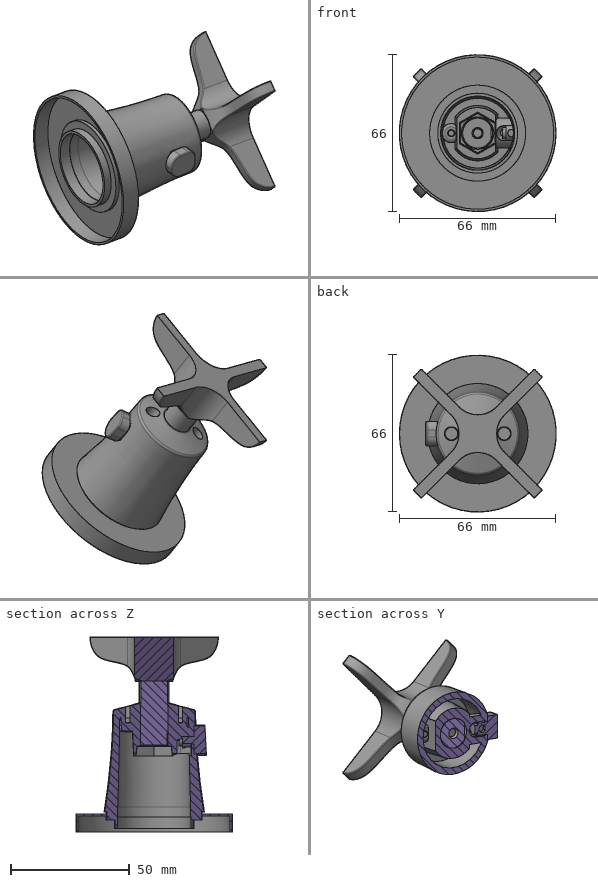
import cadquery as cq
import math


PLATE_RADIUS = 33.0
PLATE_RIM = 1.0
PLATE_DEPTH = 7.7
PLATE_FLOOR = 1.0

NECK_RADIUS = 20.2
NECK_START = 5.0
SPIGOT_RADIUS = 16.8
SPIGOT_START = 1.6
SKIRT_START = 8.5
SKIRT_RADIUS = 21.1
WAIST_Y = 32.8
WAIST_RADIUS = 18.2
SHOULDER_Y = 51.3
SHOULDER_RADIUS = 17.4
SHOULDER_FILLET = 1.0
CONE_TOP_Y = 54.2
CONE_TOP_RADIUS = 6.8

BORE_RADIUS = 15.6
BORE_LAND = 4.8
INNER_BORE_RADIUS = 15.5
INNER_BORE_LAND = 4.2
CEILING_Y = 48.0
CEILING_RADIUS = 14.65

BLOCK_RADIUS = 11.65
BLOCK_LEFT = -9.5
BLOCK_RIGHT = 8.5
BLOCK_DEPTH = 16.0
BLOCK_DRAFT = 3.2
HEX_MOUTH_FLATS = 15.3
HEX_FLOOR_FLATS = 14.4
HEX_DEPTH = 4.0
BORE_MOUTH_RADIUS = 6.8
BORE_CHAMFER = 0.5

STEM_RADIUS = 6.3
STEM_FLAT_X = 5.6
STEM_FLAT_LENGTH = 5.0
STEM_START = 36.5
STEM_CENTRE_MOUTH_DIAMETER = 4.7
STEM_CENTRE_FLOOR_DIAMETER = 3.6
STEM_CENTRE_DEPTH = 2.0

HANDLE_BASE_Y = 63.4
HANDLE_TOP_Y = 81.98
ARM_WIDTH = 4.8
ARM_TIP_RADIUS = 36.0
ARM_CROTCH_RADIUS = 11.0
ARM_EDGE_FILLET = 0.4
ARM_UNDERSIDE = [(9.5, 66.2), (12.8, 69.1), (19.0, 71.05), (26.7, 72.3), (31.8, 74.2), (34.8, 77.5)]

SCREW_X = 11.1
SCREW_PLACES = (-SCREW_X, SCREW_X)
SCREW_SHANK_DIAMETER = 3.0
SCREW_HEAD_DIAMETER = 5.3
SCREW_HEAD_HEIGHT = 2.0
SCREW_SEAT_Y = 46.0
SCREW_TIP_Y = 42.0
SCREW_TIP_CHAMFER = 0.25
SCREW_BORE_DIAMETER = 5.8
SCREW_BOSS_DIAMETER = 8.0
SCREW_BOSS_END_Y = 42.3
SCREW_BOSS_FILLET = 1.3

KNOB_Y = 38.6
KNOB_HEIGHT = 12.8
KNOB_WIDTH = 10.4
KNOB_UPPER_ROUND = 3.7
KNOB_LOWER_ROUND = 4.9
KNOB_HEAD_X = 21.75
KNOB_SEAT_X = 16.8
KNOB_END_TILT = 3.0
KNOB_END_FILLET = 0.5
KNOB_SHAFT_RADIUS = 3.15
KNOB_SHAFT_START = 11.9
KNOB_TIP_RADIUS = 2.4
KNOB_TIP_START = 10.5
KNOB_CROSS_HOLE_DIAMETER = 3.1
KNOB_CROSS_HOLE_X = 14.2
SLEEVE_RADIUS = 6.3
SLEEVE_START_X = 7.0
SLEEVE_END_X = 16.2
SLOT_END_X = 15.5
SLOT_CONE_FLOOR_Y = 41.0


def turned(points):
    """Solid of revolution about Y from (radius, y) points."""
    return cq.Workplane("XY").polyline(points).close().revolve(360, (0, 0), (0, 1))


def rod_y(x, radius, y_start, y_end):
    """Cylinder parallel to Y."""
    return cq.Workplane("XZ", origin=(x, y_end, 0)).circle(radius).extrude(y_end - y_start)


def rod_x(radius, x_start, x_end):
    """Cylinder on the knob axis."""
    return cq.Workplane("YZ", origin=(x_start, KNOB_Y, 0)).circle(radius).extrude(x_end - x_start)


def make_plate():
    floor_y = PLATE_DEPTH - PLATE_FLOOR
    rim_inner = PLATE_RADIUS - PLATE_RIM
    return turned([
        (NECK_RADIUS, PLATE_DEPTH),
        (PLATE_RADIUS, PLATE_DEPTH),
        (PLATE_RADIUS, 0),
        (rim_inner, 0),
        (rim_inner, floor_y),
        (NECK_RADIUS, floor_y),
    ])


def housing_outside():
    body = (
        cq.Workplane("XY")
        .moveTo(0, SPIGOT_START)
        .lineTo(SPIGOT_RADIUS, SPIGOT_START)
        .lineTo(SPIGOT_RADIUS, NECK_START)
        .lineTo(NECK_RADIUS, NECK_START)
        .lineTo(NECK_RADIUS, SKIRT_START)
        .lineTo(SKIRT_RADIUS, SKIRT_START)
        .spline([(WAIST_RADIUS, WAIST_Y), (SHOULDER_RADIUS, SHOULDER_Y)], includeCurrent=True)
        .lineTo(CONE_TOP_RADIUS, CONE_TOP_Y)
        .lineTo(0, CONE_TOP_Y)
        .close()
        .revolve(360, (0, 0), (0, 1))
    )
    shoulder = cq.selectors.BoxSelector(
        (-SKIRT_RADIUS, WAIST_Y, -SKIRT_RADIUS),
        (SKIRT_RADIUS, CONE_TOP_Y - SHOULDER_FILLET, SKIRT_RADIUS),
    )
    return body.edges(shoulder).edges("%CIRCLE").fillet(SHOULDER_FILLET)


def housing_cavity():
    land_end = SPIGOT_START + BORE_LAND
    inner_land_end = land_end + INNER_BORE_LAND
    return turned([
        (0, SPIGOT_START),
        (BORE_RADIUS, SPIGOT_START),
        (BORE_RADIUS, land_end),
        (INNER_BORE_RADIUS, land_end),
        (INNER_BORE_RADIUS, inner_land_end),
        (CEILING_RADIUS, CEILING_Y),
        (0, CEILING_Y),
    ])


def cartridge_block():
    left_z = math.sqrt(BLOCK_RADIUS**2 - BLOCK_LEFT**2)
    right_z = math.sqrt(BLOCK_RADIUS**2 - BLOCK_RIGHT**2)
    return (
        cq.Workplane("XZ", origin=(0, CEILING_Y, 0))
        .moveTo(BLOCK_LEFT, -left_z)
        .threePointArc((0, -BLOCK_RADIUS), (BLOCK_RIGHT, -right_z))
        .lineTo(BLOCK_RIGHT, right_z)
        .threePointArc((0, BLOCK_RADIUS), (BLOCK_LEFT, left_z))
        .close()
        .extrude(BLOCK_DEPTH, taper=BLOCK_DRAFT)
    )


def hexagon(across_flats):
    """Corner points of a hexagon with corners on the Z axis."""
    radius = across_flats / math.sqrt(3)
    angles = [math.radians(30 + 60 * i) for i in range(6)]
    return [(radius * math.cos(a), radius * math.sin(a)) for a in angles]


def cartridge_recess():
    """Tapered hexagon, then the chamfered bore for the stem."""
    mouth_y = CEILING_Y - BLOCK_DEPTH
    floor_y = mouth_y + HEX_DEPTH
    socket = (
        cq.Workplane("XZ", origin=(0, mouth_y, 0))
        .polyline(hexagon(HEX_MOUTH_FLATS)).close()
        .workplane(offset=-HEX_DEPTH)
        .polyline(hexagon(HEX_FLOOR_FLATS)).close()
        .loft(ruled=True)
    )
    bore = turned([
        (0, floor_y),
        (BORE_MOUTH_RADIUS, floor_y),
        (STEM_RADIUS, floor_y + BORE_CHAMFER),
        (STEM_RADIUS, CONE_TOP_Y),
        (0, CONE_TOP_Y),
    ])
    return socket.union(bore)


def screw_boss(x):
    boss = rod_y(x, SCREW_BOSS_DIAMETER / 2, SCREW_BOSS_END_Y, CEILING_Y)
    return boss.faces("<Y").edges().fillet(SCREW_BOSS_FILLET)


def make_screw(x):
    tip = rod_y(x, SCREW_SHANK_DIAMETER / 2, SCREW_TIP_Y, SCREW_SEAT_Y)
    tip = tip.faces("<Y").chamfer(SCREW_TIP_CHAMFER)
    return tip.union(rod_y(x, SCREW_HEAD_DIAMETER / 2, SCREW_SEAT_Y, SCREW_SEAT_Y + SCREW_HEAD_HEIGHT))


def make_stem():
    stem = rod_y(0, STEM_RADIUS, STEM_START, HANDLE_BASE_Y)
    flat = cq.Workplane("XY").box(
        STEM_RADIUS, STEM_FLAT_LENGTH, 2 * STEM_RADIUS, centered=(False, False, True)
    )
    centre = turned([
        (0, STEM_START),
        (STEM_CENTRE_MOUTH_DIAMETER / 2, STEM_START),
        (STEM_CENTRE_FLOOR_DIAMETER / 2, STEM_START + STEM_CENTRE_DEPTH),
        (0, STEM_START + STEM_CENTRE_DEPTH),
    ])
    return stem.cut(flat.translate((STEM_FLAT_X, STEM_START, 0))).cut(centre)


def handle_cross():
    """Plan of the handle: two crossed bars with rounded crotches."""
    length = 2 * (ARM_TIP_RADIUS + ARM_WIDTH)
    height = HANDLE_TOP_Y - HANDLE_BASE_Y
    bar = cq.Workplane("XY").box(length, height, ARM_WIDTH)
    bar = bar.translate((0, HANDLE_BASE_Y + height / 2, 0))
    cross = bar.union(bar.rotate((0, 0, 0), (0, 1, 0), 90))
    crotches = cq.selectors.BoxSelector(
        (-ARM_WIDTH, HANDLE_BASE_Y, -ARM_WIDTH), (ARM_WIDTH, HANDLE_TOP_Y, ARM_WIDTH)
    )
    return cross.edges("|Y").edges(crotches).fillet(ARM_CROTCH_RADIUS)


def arm_outline():
    """Side outline of two opposite arms along X, as a wide prism."""
    crotch_radius = (ARM_WIDTH / 2 + ARM_CROTCH_RADIUS) * math.sqrt(2) - ARM_CROTCH_RADIUS
    hub_half_width = crotch_radius / math.sqrt(2)
    tip = (ARM_TIP_RADIUS, HANDLE_TOP_Y)
    half = (
        cq.Workplane("XY", origin=(0, 0, -2 * ARM_TIP_RADIUS))
        .moveTo(0, HANDLE_BASE_Y)
        .lineTo(hub_half_width, HANDLE_BASE_Y)
        .spline([*ARM_UNDERSIDE, tip], includeCurrent=True)
        .lineTo(0, HANDLE_TOP_Y)
        .close()
        .extrude(4 * ARM_TIP_RADIUS)
    )
    return half.union(half.mirror("YZ"))


def make_handle():
    """Crossed bars trimmed by the arm outline in both directions, with softened lower edges."""
    outline = arm_outline()
    handle = handle_cross().intersect(outline)
    handle = handle.intersect(outline.rotate((0, 0, 0), (0, 1, 0), 90))
    handle = handle.edges("%BSPLINE").fillet(ARM_EDGE_FILLET)
    return handle.rotate((0, 0, 0), (0, 1, 0), 45)


def make_knob():
    """Rounded head with a tilted end, on a stepped and cross-drilled shaft."""
    head = (
        cq.Workplane("YZ", origin=(KNOB_SEAT_X, KNOB_Y, 0))
        .rect(KNOB_HEIGHT, KNOB_WIDTH)
        .extrude(KNOB_HEIGHT)
    )
    head = head.edges("|X and >Y").fillet(KNOB_UPPER_ROUND)
    head = head.edges("|X and <Y").fillet(KNOB_LOWER_ROUND)
    size = 2 * KNOB_HEIGHT
    trim = (
        cq.Workplane("XY").box(size, size, size, centered=(False, True, True))
        .rotate((0, 0, 0), (0, 0, 1), KNOB_END_TILT)
        .translate((KNOB_HEAD_X, KNOB_Y, 0))
    )
    shaft = rod_x(KNOB_SHAFT_RADIUS, KNOB_SHAFT_START, KNOB_SEAT_X)
    tip = rod_x(KNOB_TIP_RADIUS, KNOB_TIP_START, KNOB_SHAFT_START)
    cross_hole = rod_y(KNOB_CROSS_HOLE_X, KNOB_CROSS_HOLE_DIAMETER / 2, KNOB_Y - KNOB_SHAFT_RADIUS, KNOB_Y)
    head = head.cut(trim).faces(">X").edges().fillet(KNOB_END_FILLET)
    return head.union(shaft).union(tip).cut(cross_hole)


def sleeve_slot():
    """Downward opening that shows the knob shaft, with a conical end below the right screw."""
    bottom = KNOB_Y - SLEEVE_RADIUS
    slot = cq.Workplane("XY").box(
        SLOT_END_X - SCREW_X, SLEEVE_RADIUS, 2 * KNOB_SHAFT_RADIUS, centered=(False, False, True)
    )
    drilled = turned([
        (0, bottom),
        (KNOB_SHAFT_RADIUS, bottom),
        (KNOB_SHAFT_RADIUS, KNOB_Y),
        (SCREW_SHANK_DIAMETER / 2, SLOT_CONE_FLOOR_Y),
        (0, SLOT_CONE_FLOOR_Y),
    ])
    return slot.translate((SCREW_X, bottom, 0)).union(drilled.translate((SCREW_X, 0, 0)))


def make_housing(fitted_bodies):
    """Shell with its inner bosses, cut to seat the bodies fitted in it."""
    housing = housing_outside().cut(housing_cavity())
    housing = housing.union(cartridge_block())
    housing = housing.union(rod_x(SLEEVE_RADIUS, SLEEVE_START_X, SLEEVE_END_X))
    for x in SCREW_PLACES:
        housing = housing.union(screw_boss(x))
    housing = housing.cut(cartridge_recess()).cut(sleeve_slot())
    for x in SCREW_PLACES:
        housing = housing.cut(rod_y(x, SCREW_BORE_DIAMETER / 2, SCREW_SEAT_Y, CONE_TOP_Y))
    for fitted in fitted_bodies:
        housing = housing.cut(fitted)
    return housing


plate = make_plate()
handle = make_handle()
stem = make_stem()
knob = make_knob()
screws = [make_screw(x) for x in SCREW_PLACES]
housing = make_housing([stem, knob, *screws])

result = cq.Compound.makeCompound([
    plate.solids().val(),
    housing.solids().val(),
    handle.solids().val(),
    stem.solids().val(),
    knob.solids().val(),
    *[screw.solids().val() for screw in screws],
])